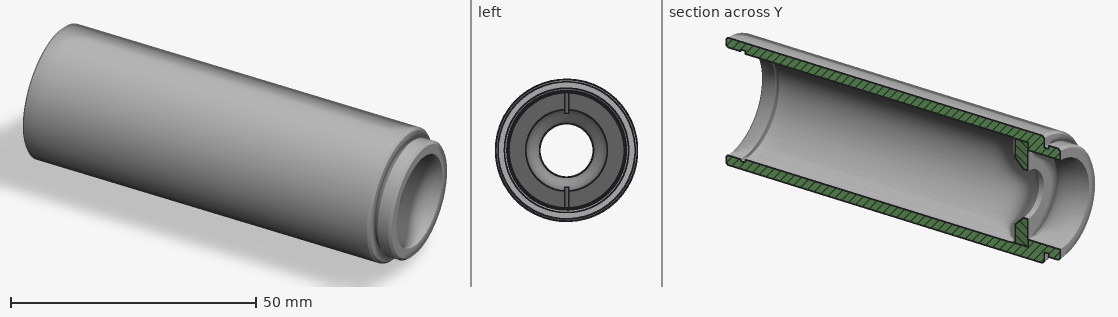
import cadquery as cq

TOTAL_LENGTH = 84.0
TUBE_RADIUS = 29.0 / 2
CHAMFER = 0.5

MALE_LENGTH = 4.0
NECK_LENGTH = 1.0
NECK_RADIUS = 11.9
SPIGOT_RADIUS = 12.7
SHOULDER_X = TOTAL_LENGTH - MALE_LENGTH
SPIGOT_X = SHOULDER_X + NECK_LENGTH

ENTRY_RADIUS = 12.2
ENTRY_DEPTH = 4.8
RELIEF_RADIUS = 12.6
RELIEF_WIDTH = 1.0
RELIEF_X = ENTRY_DEPTH - RELIEF_WIDTH
MAIN_BORE_RADIUS = 11.9

SEAT_RADIUS = 11.75
APERTURE_RADIUS = 5.5
CONE_MOUTH_RADIUS = 8.3
CONE_DEPTH = CONE_MOUTH_RADIUS - APERTURE_RADIUS
RING_THICKNESS = 4.0
SLOT_WIDTH = 0.8
SLOT_DEPTH = 0.75
RING_END_X = SHOULDER_X - MALE_LENGTH
RING_X = RING_END_X - RING_THICKNESS

EXIT_BORE_RADIUS = 10.1


def cylinder_x(start, end, radius):
    """Solid cylinder along X between two positions."""
    return cq.Workplane("YZ", origin=(start, 0, 0)).circle(radius).extrude(end - start)


def make_tube():
    """Tube with a male spigot at +X and a stepped female bore at -X."""
    barrel = cylinder_x(0, SHOULDER_X, TUBE_RADIUS).edges().chamfer(CHAMFER)
    neck = cylinder_x(SHOULDER_X, SPIGOT_X, NECK_RADIUS)
    spigot = cylinder_x(SPIGOT_X, TOTAL_LENGTH, SPIGOT_RADIUS).edges(">X").chamfer(CHAMFER)
    tube = barrel.union(neck).union(spigot)

    tube = tube.cut(cylinder_x(0, TOTAL_LENGTH, EXIT_BORE_RADIUS))
    tube = tube.cut(cylinder_x(0, RING_END_X, SEAT_RADIUS))
    tube = tube.cut(cylinder_x(0, RING_X, MAIN_BORE_RADIUS))
    tube = tube.cut(cylinder_x(0, ENTRY_DEPTH, ENTRY_RADIUS))
    tube = tube.faces("<X").edges(cq.selectors.RadiusNthSelector(0)).chamfer(CHAMFER)
    return tube.cut(cylinder_x(RELIEF_X, ENTRY_DEPTH, RELIEF_RADIUS))


def make_slotted_ring():
    """Ring with a conical aperture and a spanner slot across its -X face."""
    profile = [
        (RING_X, CONE_MOUTH_RADIUS),
        (RING_X, SEAT_RADIUS),
        (RING_END_X, SEAT_RADIUS),
        (RING_END_X, APERTURE_RADIUS),
        (RING_X + CONE_DEPTH, APERTURE_RADIUS),
    ]
    ring = cq.Workplane("XY").polyline(profile).close().revolve(360, (0, 0, 0), (1, 0, 0))
    slot = cq.Workplane("XY", origin=(RING_X, 0, 0)).box(
        SLOT_DEPTH, SLOT_WIDTH, 2 * SEAT_RADIUS, centered=(False, True, True)
    )
    return ring.cut(slot)


tube = make_tube()
slotted_ring = make_slotted_ring()

result = cq.Compound.makeCompound([tube.val(), slotted_ring.val()])